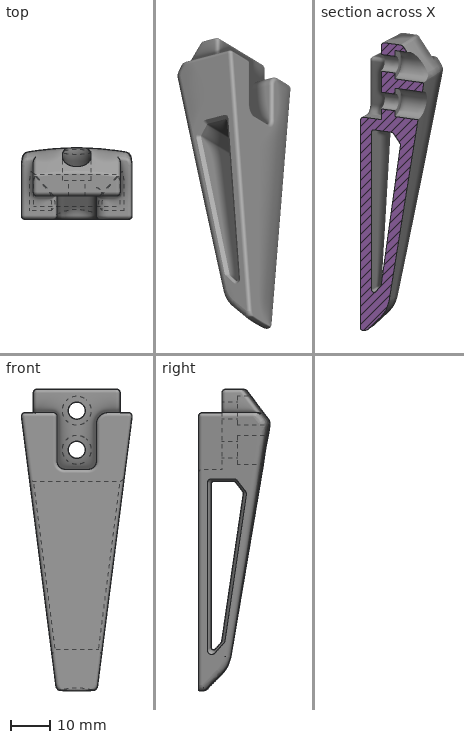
import cadquery as cq
import math

TOTAL_HEIGHT = 77.46
EDGE_ROUND = 1.0
BACK_ROUND = 1.6

SHELF_DROP = 6.0
SHELF_Z = TOTAL_HEIGHT - SHELF_DROP
HALF_WIDTH_AT_SHELF = 14.3
HALF_WIDTH_AT_TIP = 5.15
SIDE_TAPER = (HALF_WIDTH_AT_SHELF - HALF_WIDTH_AT_TIP) / SHELF_Z
FOOT_Z = -5.0
HALF_WIDTH_AT_FOOT = HALF_WIDTH_AT_TIP + FOOT_Z * SIDE_TAPER

CROWN_RADIUS = 78.0
UPPER_SLOPE_ANGLE = 37.5
LONG_SLOPE_ANGLE = -9.6
TIP_SLOPE_ANGLE = -45.0
RIDGE_Y = 18.5
RIDGE_Z = 69.15
RIDGE_ROUND = 2.5
HEEL_ROUND = 8.0
HEEL_Y = 7.8
HEEL_Z = 6.5
EDGE_SEARCH = 1.0
TIP_SLOPE_START_Y = EDGE_ROUND * math.sqrt(2)

BOSS_WIDTH = 22.25
BOSS_FRONT_Y = 6.0
BOSS_DEPTH_BELOW_SHELF = 3.0

HOLE_COUNT = 2
HOLE_DIAMETER = 4.3
HOLE_DROP = 5.5
HOLE_PITCH = 10.0
COUNTERBORE_DIAMETER = 7.4
COUNTERBORE_FLOOR_Y = 10.0

SLOT_WIDTH = 10.0
SLOT_BOTTOM_Z = TOTAL_HEIGHT - 20.5
SLOT_FLOOR_ROUND = 2.0
SLOT_MOUTH_ROUND = 3.0

WINDOW_CORNERS = [(3.3, 53.85), (9.35, 53.85), (11.5, 51.05), (5.9, 12.8), (3.3, 9.9)]
WINDOW_CORNER_ROUND = 0.6
RIM_CORNER_ROUND = 1.1
RIM_WIDTHS = [0.7, 0.6, 0.85, 0.6, 1.0]
RIM_DEPTH = 1.0

REACH = 200.0
BLOCK_WIDTH = 32.0


def crowned_limit(y, z, angle, radius):
    """Cylinder whose crown runs up a slope through (y, z); the slope's normal rises by angle."""
    tilt = math.radians(angle)
    slope = cq.Plane(origin=(0, y, z), xDir=(1, 0, 0), normal=(0, -math.sin(tilt), math.cos(tilt)))
    return cq.Workplane(slope).center(0, -radius).circle(radius).extrude(REACH, both=True)


def around_line(y, z):
    """Selector for edges that cross the part close to the line (y, z)."""
    low = (-BLOCK_WIDTH, y - EDGE_SEARCH, z - EDGE_SEARCH)
    high = (BLOCK_WIDTH, y + EDGE_SEARCH, z + EDGE_SEARCH)
    return cq.selectors.BoxSelector(low, high)


def crowned_back():
    """Volume in front of the three crowned slopes, with the two ridges between them rounded."""
    block = cq.Workplane("XY").box(BLOCK_WIDTH, REACH, 2 * REACH).translate((0, REACH / 2, 0))
    volume = (
        block.intersect(crowned_limit(RIDGE_Y, RIDGE_Z, UPPER_SLOPE_ANGLE, CROWN_RADIUS))
        .intersect(crowned_limit(RIDGE_Y, RIDGE_Z, LONG_SLOPE_ANGLE, CROWN_RADIUS))
        .intersect(crowned_limit(TIP_SLOPE_START_Y, 0, TIP_SLOPE_ANGLE, CROWN_RADIUS))
    )
    volume = volume.edges(around_line(RIDGE_Y, RIDGE_Z)).fillet(RIDGE_ROUND)
    return volume.edges(around_line(HEEL_Y, HEEL_Z)).fillet(HEEL_ROUND)


def half_width(z):
    """Half width of the tapered body at height z."""
    return HALF_WIDTH_AT_TIP + SIDE_TAPER * z


def body_blank():
    """Tapered body under the shelves, with the slot open to its front and top."""
    outline = (
        cq.Workplane("XZ")
        .moveTo(-HALF_WIDTH_AT_FOOT, FOOT_Z)
        .lineTo(-HALF_WIDTH_AT_SHELF, SHELF_Z)
        .lineTo(HALF_WIDTH_AT_SHELF, SHELF_Z)
        .lineTo(HALF_WIDTH_AT_FOOT, FOOT_Z)
        .close()
        .extrude(-REACH)
    )
    return outline.intersect(crowned_back()).cut(slot())


def slot():
    """Slot cutter: square left mouth corner, rounded floor corners and right mouth corner."""
    half = SLOT_WIDTH / 2
    mouth_x = half + SLOT_MOUTH_ROUND
    return (
        cq.Workplane("XZ")
        .moveTo(-half, SHELF_Z)
        .lineTo(-half, SLOT_BOTTOM_Z + SLOT_FLOOR_ROUND)
        .radiusArc((-half + SLOT_FLOOR_ROUND, SLOT_BOTTOM_Z), -SLOT_FLOOR_ROUND)
        .lineTo(half - SLOT_FLOOR_ROUND, SLOT_BOTTOM_Z)
        .radiusArc((half, SLOT_BOTTOM_Z + SLOT_FLOOR_ROUND), -SLOT_FLOOR_ROUND)
        .lineTo(half, SHELF_Z - SLOT_MOUTH_ROUND)
        .radiusArc((mouth_x, SHELF_Z), SLOT_MOUTH_ROUND)
        .close()
        .extrude(-BOSS_FRONT_Y)
    )


def boss():
    """Boss rising out of the body, flush with its back; its rounded edges run down inside the body."""
    height = SHELF_DROP + BOSS_DEPTH_BELOW_SHELF
    behind_front = cq.Workplane("XY").box(REACH, REACH, REACH).translate((0, BOSS_FRONT_Y + REACH / 2, 0))
    block = (
        cq.Workplane("XY", origin=(0, BOSS_FRONT_Y, TOTAL_HEIGHT))
        .rect(BOSS_WIDTH, REACH)
        .extrude(-height)
        .intersect(behind_front)
        .intersect(crowned_back())
    )
    return block.faces("<X or >X or >Z").edges("not <Z").fillet(EDGE_ROUND)


def rounded_body():
    """Body blank with its outer edges rounded, more generously along the sides of the back."""
    blank = body_blank()
    back_sides = blank.faces("<X or >X").edges("(not <Y) and (not >Z)")
    body = blank.newObject(back_sides.vals()).fillet(BACK_ROUND)
    shelf_sides = body.edges("|Y").edges("<X or >X")
    front = body.faces("<Y").edges()
    mouth = (-SLOT_WIDTH / 2, BOSS_FRONT_Y / 2, SHELF_Z)
    slot_mouth = body.edges(cq.selectors.NearestToPointSelector(mouth))
    return body.newObject(shelf_sides.vals() + front.vals() + slot_mouth.vals()).fillet(EDGE_ROUND)


def widened(corners, widths):
    """Move every edge of an outline (y, z) outward by its own width and return the new corners."""
    lines = []
    for (y, z), (next_y, next_z), width in zip(corners, corners[1:] + corners[:1], widths):
        length = math.hypot(next_y - y, next_z - z)
        normal_y = (z - next_z) / length
        normal_z = (next_y - y) / length
        lines.append((normal_y, normal_z, normal_y * y + normal_z * z + width))
    moved = []
    for (a, b, c), (d, e, f) in zip(lines[-1:] + lines[:-1], lines):
        determinant = a * e - b * d
        moved.append(((c * e - b * f) / determinant, (a * f - c * d) / determinant))
    return moved


def window_wire(corners, corner_round, side, inset):
    """Window outline with rounded corners, lying parallel to one side face and inset from it."""
    points = [cq.Vector(side * (half_width(z) - inset), y, z) for y, z in corners]
    wire = cq.Wire.makePolygon(points, close=True)
    return wire.fillet2D(corner_round, wire.Vertices())


def window():
    """Window cutter: a straight bore between two flared rims."""
    rim_corners = widened(WINDOW_CORNERS, RIM_WIDTHS)
    left = window_wire(WINDOW_CORNERS, WINDOW_CORNER_ROUND, -1, RIM_DEPTH)
    right = window_wire(WINDOW_CORNERS, WINDOW_CORNER_ROUND, 1, RIM_DEPTH)
    cutter = cq.Workplane(cq.Solid.makeLoft([left, right], True))
    for side, inner in ((-1, left), (1, right)):
        outer = window_wire(rim_corners, RIM_CORNER_ROUND, side, 0)
        cutter = cutter.union(cq.Workplane(cq.Solid.makeLoft([inner, outer], True)))
    return cutter


def screw_holes():
    """Through holes with counterbores sunk from the back."""
    centres = [(0, TOTAL_HEIGHT - HOLE_DROP - i * HOLE_PITCH) for i in range(HOLE_COUNT)]
    bores = cq.Workplane("XZ").pushPoints(centres).circle(HOLE_DIAMETER / 2).extrude(-REACH)
    floor = cq.Workplane("XZ", origin=(0, COUNTERBORE_FLOOR_Y, 0)).pushPoints(centres)
    return bores.union(floor.circle(COUNTERBORE_DIAMETER / 2).extrude(-REACH))


result = rounded_body().cut(window()).union(boss()).cut(screw_holes())